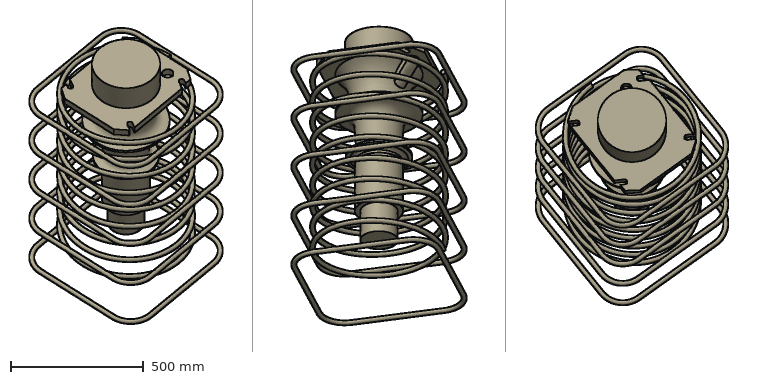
import cadquery as cq
import math

OVERALL_HEIGHT = 1036.0

BAR_DIAMETER = 20.0
TIE_OUTER_SIDE = 580.0
TIE_CORNER_RADIUS = 99.0
TIE_PITCH = 210.0
TIE_COUNT = 5

SPIRAL_OUTER_RADIUS = 260.0
SPIRAL_PITCH = 90.0
SPIRAL_TURNS = 8.4
END_PITCH = 12.0
END_TURNS = 0.6
SPIRAL_START_Z = 112.0
SPIRAL_RADIUS = SPIRAL_OUTER_RADIUS - BAR_DIAMETER / 2

CAP_RADIUS = 128.0
CAP_HEIGHT = 108.0
PLATE_THICKNESS = 29.0
PLATE_HALF_X = 175.0
PLATE_HALF_Y = 210.0
PLATE_TIP_HALF_X = 168.0
PLATE_TIP_HALF_Y = 177.0
PLATE_CHAMFER_X = 121.0
PLATE_TOP_Z = OVERALL_HEIGHT - CAP_HEIGHT
PLATE_BOTTOM_Z = PLATE_TOP_Z - PLATE_THICKNESS

SLOT_CENTRE = 148.0
SLOT_RADIUS = 10.0
SLOT_LENGTH = 62.0
SLOT_ANGLE = -30.0

PORT_RADIUS = 22.0
PORT_OFFSET = 166.0
PORT_ANGLE = 60.0
DUCT_RADIUS = 33.0
DUCT_FOOT_OFFSET = 75.0
DUCT_STRAIGHT = 12.0

FLARE_RIM = (165.0, PLATE_BOTTOM_Z)
FLARE_MIDDLE = (126.0, 852.0)
NECK_RADIUS = 111.0
NECK_TOP_Z = 798.0
NECK_TOP = (NECK_RADIUS, NECK_TOP_Z)
NECK_BOTTOM = (NECK_RADIUS, 784.0)

UPPER_FLANGE_RADIUS = 165.0
UPPER_WEB_RADIUS = 141.0
UPPER_ROOT_MIDDLE_ABOVE = (120.0, 754.0)
UPPER_WEB_ABOVE = (UPPER_WEB_RADIUS, 742.0)
UPPER_RIM_TOP = (UPPER_FLANGE_RADIUS, 737.0)
UPPER_RIM_BOTTOM = (UPPER_FLANGE_RADIUS, 726.0)
UPPER_WEB_BELOW = (UPPER_WEB_RADIUS, 722.0)
UPPER_ROOT_MIDDLE_BELOW = (110.0, 711.0)

BARREL_TOP = (93.0, 684.0)
BARREL_BOTTOM = (87.0, 578.0)

LOWER_FLANGE_RADIUS = 125.0
LOWER_WEB_RADIUS = 110.0
LOWER_ROOT_MIDDLE_ABOVE = (93.0, 563.0)
LOWER_WEB_ABOVE = (LOWER_WEB_RADIUS, 554.0)
LOWER_RIM_TOP = (LOWER_FLANGE_RADIUS, 549.0)
LOWER_RIM_BOTTOM = (LOWER_FLANGE_RADIUS, 541.0)
LOWER_WEB_BELOW = (LOWER_WEB_RADIUS, 537.0)
LOWER_ROOT_MIDDLE_BELOW = (95.0, 534.0)

WAIST_RADIUS = 89.0
WAIST_TOP_Z = 526.0
TUBE_RADIUS = 91.0
TUBE_TOP_Z = 514.0
TUBE_BOTTOM_Z = 312.0
SPIGOT_RADIUS = 70.0
SPIGOT_BOTTOM_Z = 186.0


def polar(radius, degrees):
    """Point at a radius and an angle about the anchor axis."""
    angle = math.radians(degrees)
    return (radius * math.cos(angle), radius * math.sin(angle))


def make_tie(centre_z):
    """Closed square tie of round bar with rounded corners."""
    half = (TIE_OUTER_SIDE - BAR_DIAMETER) / 2
    straight = half - TIE_CORNER_RADIUS
    bend = half - TIE_CORNER_RADIUS * (1 - math.sqrt(0.5))
    path = (
        cq.Workplane("XY", origin=(0, 0, centre_z))
        .moveTo(0, -half)
        .lineTo(straight, -half)
        .threePointArc((bend, -bend), (half, -straight))
        .lineTo(half, straight)
        .threePointArc((bend, bend), (straight, half))
        .lineTo(-straight, half)
        .threePointArc((-bend, bend), (-half, straight))
        .lineTo(-half, -straight)
        .threePointArc((-bend, -bend), (-straight, -half))
        .close()
    )
    section = cq.Workplane("YZ", origin=(0, -half, centre_z)).circle(BAR_DIAMETER / 2)
    return section.sweep(path)


def make_coil(pitch, turns, start_turn, start_z):
    """Left-handed coil of round bar; turns are counted from the +Y side."""
    start_angle = 90 - 360 * start_turn
    helix = cq.Wire.makeHelix(pitch, turns * pitch, SPIRAL_RADIUS, lefthand=True)
    section = cq.Workplane("XZ", origin=(SPIRAL_RADIUS, 0, 0)).circle(BAR_DIAMETER / 2)
    coil = section.sweep(cq.Workplane(helix), isFrenet=True)
    return coil.rotate((0, 0, 0), (0, 0, 1), start_angle).translate((0, 0, start_z))


def make_spiral():
    """Regular coil whose last stretch flattens out under the plate."""
    end_start_z = SPIRAL_START_Z + SPIRAL_TURNS * SPIRAL_PITCH
    coil = make_coil(SPIRAL_PITCH, SPIRAL_TURNS, 0, SPIRAL_START_Z)
    closing_stretch = make_coil(END_PITCH, END_TURNS, SPIRAL_TURNS, end_start_z)
    return coil.union(closing_stretch)


def make_plate():
    """Bearing plate with chamfered corners and four parallel open slots."""
    step = (PLATE_TIP_HALF_X - SLOT_CENTRE) * math.tan(math.radians(SLOT_ANGLE))
    falling_step_y = SLOT_CENTRE + step
    rising_step_y = SLOT_CENTRE - step
    half_outline = [
        (PLATE_HALF_X, -rising_step_y),
        (PLATE_HALF_X, falling_step_y),
        (PLATE_TIP_HALF_X, falling_step_y),
        (PLATE_TIP_HALF_X, PLATE_TIP_HALF_Y),
        (PLATE_CHAMFER_X, PLATE_HALF_Y),
        (-PLATE_CHAMFER_X, PLATE_HALF_Y),
        (-PLATE_TIP_HALF_X, PLATE_TIP_HALF_Y),
        (-PLATE_TIP_HALF_X, rising_step_y),
    ]
    outline = half_outline + [(-x, -y) for x, y in half_outline]
    plate = (
        cq.Workplane("XY", origin=(0, 0, PLATE_BOTTOM_Z))
        .polyline(outline)
        .close()
        .extrude(PLATE_THICKNESS)
    )
    for side in (1, -1):
        for y in (SLOT_CENTRE, -SLOT_CENTRE):
            slot = (
                cq.Workplane("XY", origin=(side * SLOT_CENTRE, y, PLATE_BOTTOM_Z))
                .transformed(rotate=(0, 0, SLOT_ANGLE))
                .center(side * SLOT_LENGTH / 2, 0)
                .slot2D(SLOT_LENGTH + 2 * SLOT_RADIUS, 2 * SLOT_RADIUS)
                .extrude(PLATE_THICKNESS)
            )
            plate = plate.cut(slot)
    return plate


def make_trunk():
    """Turned trunk: flare, neck, two flanges, tapered barrel, waist, tube and spigot."""
    return (
        cq.Workplane("XZ")
        .moveTo(0, PLATE_BOTTOM_Z)
        .lineTo(*FLARE_RIM)
        .threePointArc(FLARE_MIDDLE, NECK_TOP)
        .lineTo(*NECK_BOTTOM)
        .threePointArc(UPPER_ROOT_MIDDLE_ABOVE, UPPER_WEB_ABOVE)
        .lineTo(*UPPER_RIM_TOP)
        .lineTo(*UPPER_RIM_BOTTOM)
        .lineTo(*UPPER_WEB_BELOW)
        .threePointArc(UPPER_ROOT_MIDDLE_BELOW, BARREL_TOP)
        .lineTo(*BARREL_BOTTOM)
        .threePointArc(LOWER_ROOT_MIDDLE_ABOVE, LOWER_WEB_ABOVE)
        .lineTo(*LOWER_RIM_TOP)
        .lineTo(*LOWER_RIM_BOTTOM)
        .lineTo(*LOWER_WEB_BELOW)
        .threePointArc(LOWER_ROOT_MIDDLE_BELOW, (WAIST_RADIUS, WAIST_TOP_Z))
        .lineTo(WAIST_RADIUS, TUBE_TOP_Z)
        .lineTo(TUBE_RADIUS, TUBE_TOP_Z)
        .lineTo(TUBE_RADIUS, TUBE_BOTTOM_Z)
        .lineTo(SPIGOT_RADIUS, TUBE_BOTTOM_Z)
        .lineTo(SPIGOT_RADIUS, SPIGOT_BOTTOM_Z)
        .lineTo(0, SPIGOT_BOTTOM_Z)
        .close()
        .revolve(360, (0, 0, 0), (0, 1, 0))
    )


def make_grout_duct():
    """Duct under the port, straight at first and then leaning in to the neck."""
    lean_top_z = PLATE_BOTTOM_Z - DUCT_STRAIGHT
    top_x, top_y = polar(PORT_OFFSET, PORT_ANGLE)
    foot_x, foot_y = polar(DUCT_FOOT_OFFSET, PORT_ANGLE)
    straight = (
        cq.Workplane("XY", origin=(top_x, top_y, lean_top_z)).circle(DUCT_RADIUS).extrude(DUCT_STRAIGHT)
    )
    leaning = (
        cq.Workplane("XY", origin=(top_x, top_y, lean_top_z))
        .circle(DUCT_RADIUS)
        .workplane(offset=NECK_TOP_Z - lean_top_z)
        .center(foot_x - top_x, foot_y - top_y)
        .circle(DUCT_RADIUS)
        .loft()
    )
    return straight.union(leaning)


def make_anchor():
    """Cap, bearing plate, trunk and grout duct in one piece."""
    cap = cq.Workplane("XY", origin=(0, 0, PLATE_TOP_Z)).circle(CAP_RADIUS).extrude(CAP_HEIGHT)
    port_x, port_y = polar(PORT_OFFSET, PORT_ANGLE)
    port = (
        cq.Workplane("XY", origin=(port_x, port_y, PLATE_BOTTOM_Z))
        .circle(PORT_RADIUS)
        .extrude(PLATE_THICKNESS)
    )
    return make_plate().union(cap).union(make_trunk()).union(make_grout_duct()).cut(port)


anchor = make_anchor()
spiral = make_spiral()
ties = [make_tie(BAR_DIAMETER / 2 + index * TIE_PITCH) for index in range(TIE_COUNT)]

result = cq.Compound.makeCompound([*anchor.vals(), *spiral.vals(), *[tie.val() for tie in ties]])